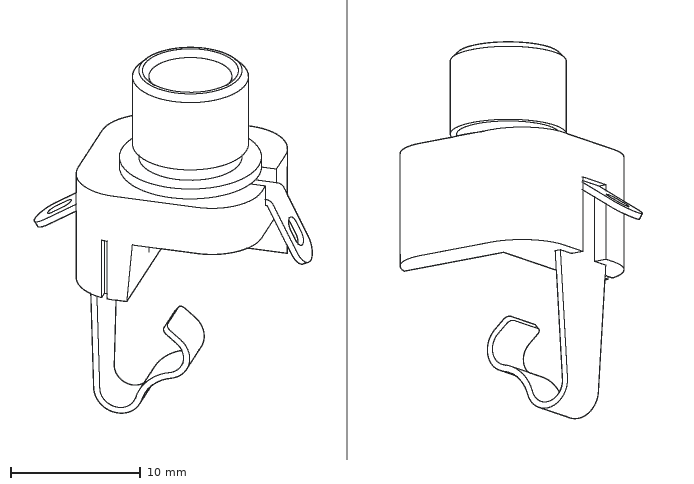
import cadquery as cq
import math


HOUSING_LEFT = -8.32
HOUSING_RIGHT = 6.5
HOUSING_FRONT = -6.52
HOUSING_BACK = 8.0
HOUSING_HEIGHT = 9.0
CORNER_RADIUS = 4.0

CAVITY_HEIGHT = 4.98
CAVITY_BACK = 4.9
CAVITY_LEFT_TOP = -2.77
CAVITY_LEFT_BOTTOM = -3.2
SLIT_LEFT = -5.28
SLIT_WIDTH = 0.47
SLIT_DEPTH = 0.88

BORE_DIAMETER = 6.43
TUBE_DIAMETER = 9.0
NECK_DIAMETER = 8.0
FLANGE_DIAMETER = 11.0
FLANGE_TOP = 9.85
NECK_TOP = 11.0
TUBE_TOP = 17.35
RIM_CHAMFER = 0.5

SHEET = 0.5
TAB_WIDTH = 3.0

LEFT_TIP = (-12.53, 2.75)
LEFT_ANGLE = 33.3
LEFT_EYE_LENGTH = 2.2
LEFT_EYE_WIDTH = 1.15
LEFT_EYE_FROM_TIP = 2.35
LEFT_SLOT_TOP = 5.95

RIGHT_TIP_X = 9.7
RIGHT_ANGLE = 63.5
RIGHT_TAB_TOP = 7.81
RIGHT_BEND_START = 6.55
RIGHT_BEND_RADIUS = 0.62
RIGHT_EYE_LENGTH = 2.4
RIGHT_EYE_WIDTH = 1.5
RIGHT_EYE_FROM_TIP = 2.65

LEAF_LEFT = -7.23
LEAF_WIDTH = 5.87
HOOK_WIDTH = 4.0
HOOK_OUTER_RADIUS = 1.98
HOOK_RADIUS = HOOK_OUTER_RADIUS - SHEET / 2
HOOK_Z = -10.17
CREST_CENTER = (-1.45, -6.6)
SADDLE_RADIUS = 3.55
HOOK_END_ANGLE = 39.0
HOOK_END_LENGTH = 1.53
HOOK_END_CORNER = 0.47


def block(x0, x1, y0, y1, z0, z1):
    """Box between two opposite corners."""
    return cq.Workplane("XY").box(x1 - x0, y1 - y0, z1 - z0, centered=False).translate((x0, y0, z0))


def polar(center, radius, degrees):
    """Point on a circle at an angle measured from the first axis."""
    angle = math.radians(degrees)
    return (center[0] + radius * math.cos(angle), center[1] + radius * math.sin(angle))


def direction(start, end):
    """Angle in degrees of the line from one point to another."""
    return math.degrees(math.atan2(end[1] - start[1], end[0] - start[0]))


def housing():
    """Rounded block with its cavity, slit and the openings for the two tabs."""
    outer = block(HOUSING_LEFT, HOUSING_RIGHT, HOUSING_FRONT, HOUSING_BACK, 0, HOUSING_HEIGHT)
    outer = outer.edges("|Z").fillet(CORNER_RADIUS)
    cavity = (
        cq.Workplane("XZ", origin=(0, CAVITY_BACK, 0))
        .polyline([
            (CAVITY_LEFT_BOTTOM, 0),
            (CAVITY_LEFT_TOP, CAVITY_HEIGHT),
            (HOUSING_RIGHT, CAVITY_HEIGHT),
            (HOUSING_RIGHT, 0),
        ])
        .close()
        .extrude(CAVITY_BACK - HOUSING_FRONT)
    )
    slit = block(
        SLIT_LEFT, SLIT_LEFT + SLIT_WIDTH, HOUSING_FRONT, HOUSING_FRONT + SLIT_DEPTH, 0, CAVITY_HEIGHT
    )
    half_tab = TAB_WIDTH / 2
    left_slot = block(HOUSING_LEFT, LEAF_LEFT, -half_tab, half_tab, 0, LEFT_SLOT_TOP)
    right_notch = block(
        TUBE_DIAMETER / 2, HOUSING_RIGHT, -half_tab, half_tab, RIGHT_TAB_TOP - SHEET, HOUSING_HEIGHT
    )
    return outer.cut(cavity).cut(slit).cut(left_slot).cut(right_notch)


def tube():
    """Solid flange, neck and barrel standing on the housing."""
    flange = cq.Workplane("XY", origin=(0, 0, HOUSING_HEIGHT)).circle(FLANGE_DIAMETER / 2)
    flange = flange.extrude(FLANGE_TOP - HOUSING_HEIGHT)
    neck = cq.Workplane("XY", origin=(0, 0, FLANGE_TOP)).circle(NECK_DIAMETER / 2)
    neck = neck.extrude(NECK_TOP - FLANGE_TOP)
    barrel = cq.Workplane("XY", origin=(0, 0, NECK_TOP)).circle(TUBE_DIAMETER / 2)
    barrel = barrel.extrude(TUBE_TOP - NECK_TOP).faces(">Z").chamfer(RIM_CHAMFER)
    return flange.union(neck).union(barrel)


def bore():
    """Hole through the tube and housing, widened by a chamfer at the rim."""
    hole = cq.Workplane("XY").circle(BORE_DIAMETER / 2).extrude(TUBE_TOP)
    countersink = cq.Workplane("XY").add(
        cq.Solid.makeCone(
            BORE_DIAMETER / 2,
            BORE_DIAMETER / 2 + RIM_CHAMFER,
            RIM_CHAMFER,
            pnt=cq.Vector(0, 0, TUBE_TOP - RIM_CHAMFER),
        )
    )
    return hole.union(countersink)


def eyelet_plate(length, eye_length, eye_width, eye_from_tip):
    """Flat tab running along +X from a rounded tip at the origin, with its top at Z = 0."""
    radius = TAB_WIDTH / 2
    return (
        cq.Workplane("XY")
        .moveTo(length, -radius)
        .lineTo(radius, -radius)
        .threePointArc((0, 0), (radius, radius))
        .lineTo(length, radius)
        .close()
        .extrude(-SHEET)
        .cut(
            cq.Workplane("XY")
            .center(eye_from_tip, 0)
            .slot2D(eye_length, eye_width)
            .extrude(-SHEET)
        )
    )


def left_tab():
    """Straight tab rising from its tip to the spring leaf."""
    length = (LEAF_LEFT + SHEET - LEFT_TIP[0]) / math.cos(math.radians(LEFT_ANGLE))
    plate = eyelet_plate(length, LEFT_EYE_LENGTH, LEFT_EYE_WIDTH, LEFT_EYE_FROM_TIP)
    plate = plate.rotate((0, 0, 0), (0, 1, 0), -LEFT_ANGLE)
    return plate.translate((LEFT_TIP[0], 0, LEFT_TIP[1]))


def right_tab():
    """Tab that lies flat in the notch, then bends down outside the housing."""
    bend_center = (RIGHT_BEND_START, RIGHT_TAB_TOP - RIGHT_BEND_RADIUS)
    inner_radius = RIGHT_BEND_RADIUS - SHEET
    end_angle = 90 - RIGHT_ANGLE
    middle_angle = 90 - RIGHT_ANGLE / 2
    bend_end = polar(bend_center, RIGHT_BEND_RADIUS, end_angle)
    flat_and_bend = (
        cq.Workplane("XZ", origin=(0, TAB_WIDTH / 2, 0))
        .moveTo(TUBE_DIAMETER / 2, RIGHT_TAB_TOP)
        .lineTo(RIGHT_BEND_START, RIGHT_TAB_TOP)
        .threePointArc(polar(bend_center, RIGHT_BEND_RADIUS, middle_angle), bend_end)
        .lineTo(*polar(bend_center, inner_radius, end_angle))
        .threePointArc(
            polar(bend_center, inner_radius, middle_angle), polar(bend_center, inner_radius, 90)
        )
        .lineTo(TUBE_DIAMETER / 2, RIGHT_TAB_TOP - SHEET)
        .close()
        .extrude(TAB_WIDTH)
    )
    slope = math.radians(RIGHT_ANGLE)
    length = (RIGHT_TIP_X - bend_end[0]) / math.cos(slope)
    tip_z = bend_end[1] - length * math.sin(slope)
    plate = eyelet_plate(length, RIGHT_EYE_LENGTH, RIGHT_EYE_WIDTH, RIGHT_EYE_FROM_TIP)
    plate = plate.rotate((0, 0, 0), (0, 0, 1), 180).rotate((0, 0, 0), (0, 1, 0), RIGHT_ANGLE)
    return flat_and_bend.union(plate.translate((RIGHT_TIP_X, 0, tip_z)))


def hook_strip():
    """Bent strip of constant width, swept along the mid-line of the leaf and its hook."""
    leaf_x = LEAF_LEFT + SHEET / 2
    hook_center = (leaf_x + HOOK_RADIUS, HOOK_Z)

    half_span = math.dist(hook_center, CREST_CENTER) / 2
    span_angle = direction(hook_center, CREST_CENTER)
    middle = polar(hook_center, half_span, span_angle)
    saddle_offset = math.sqrt((SADDLE_RADIUS + HOOK_RADIUS) ** 2 - half_span**2)
    saddle_center = polar(middle, saddle_offset, span_angle - 90)

    hook_end = direction(hook_center, saddle_center)
    crest_start = direction(CREST_CENTER, saddle_center)
    crest_end = 90 - HOOK_END_ANGLE
    crest_exit = polar(CREST_CENTER, HOOK_RADIUS, crest_end)
    path = (
        cq.Workplane("XZ")
        .moveTo(leaf_x, LEFT_SLOT_TOP)
        .lineTo(leaf_x, HOOK_Z)
        .threePointArc(polar(hook_center, HOOK_RADIUS, -90), polar(hook_center, HOOK_RADIUS, hook_end))
        .threePointArc(
            polar(saddle_center, SADDLE_RADIUS, span_angle + 90),
            polar(CREST_CENTER, HOOK_RADIUS, crest_start),
        )
        .threePointArc(polar(CREST_CENTER, HOOK_RADIUS, 0), crest_exit)
        .lineTo(*polar(crest_exit, HOOK_END_LENGTH, crest_end + 90))
    )
    section = cq.Workplane("XY", origin=(leaf_x, 0, LEFT_SLOT_TOP)).rect(SHEET, LEAF_WIDTH)
    return section.sweep(path)


def spring_leaf():
    """Strip trimmed to a taper between the housing and the narrower hook."""
    strip = hook_strip()
    half_leaf = LEAF_WIDTH / 2
    half_hook = HOOK_WIDTH / 2
    lowest = HOOK_Z - HOOK_OUTER_RADIUS
    taper = (
        cq.Workplane("YZ", origin=(HOUSING_LEFT, 0, 0))
        .polyline([
            (-half_leaf, LEFT_SLOT_TOP),
            (half_leaf, LEFT_SLOT_TOP),
            (half_leaf, 0),
            (half_hook, HOOK_Z),
            (half_hook, lowest),
            (-half_hook, lowest),
            (-half_hook, HOOK_Z),
            (-half_leaf, 0),
        ])
        .close()
        .extrude(LEAF_LEFT + SHEET - HOUSING_LEFT)
    )
    hook_zone = block(LEAF_LEFT + SHEET, HOUSING_RIGHT, -half_hook, half_hook, lowest, 0)
    return strip.intersect(taper.union(hook_zone))


def round_hook_end(leaf):
    """Round the two corners at the free end of the hook."""
    slope = math.radians(HOOK_END_ANGLE)
    end_edges = cq.selectors.ParallelDirSelector(cq.Vector(math.sin(slope), 0, math.cos(slope)))
    return leaf.edges(end_edges).fillet(HOOK_END_CORNER)


body = housing().union(tube()).cut(bore())
result = body.union(left_tab()).union(right_tab()).union(round_hook_end(spring_leaf()))